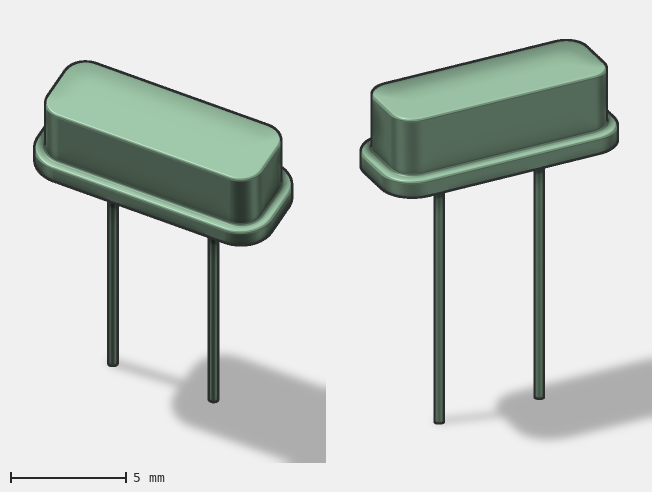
import cadquery as cq

flange_length = 11.35
flange_width = 4.65
flange_height = 0.8
flange_corner_radius = 1.5

ledge_width = 0.47
can_length = flange_length - 2 * ledge_width
can_width = flange_width - 2 * ledge_width
can_corner_radius = flange_corner_radius - ledge_width

edge_radius = 0.15

overall_height = 16.3
body_height = 3.6
lead_length = overall_height - body_height

lead_diameter = 0.42
lead_spacing = 4.87


def rounded_block(length, width, height, corner_radius):
    """Block standing on Z = 0 with rounded vertical corners and a rounded top rim."""
    block = cq.Workplane("XY").box(length, width, height, centered=(True, True, False))
    return block.edges("|Z").fillet(corner_radius).faces(">Z").edges().fillet(edge_radius)


def make_body():
    """Flange and can joined, with a concave fillet where the can meets the flange."""
    flange = rounded_block(flange_length, flange_width, flange_height, flange_corner_radius)
    can = rounded_block(can_length, can_width, body_height, can_corner_radius)
    ledge = cq.selectors.BoxSelector(
        (-flange_length, -flange_width, flange_height - edge_radius / 2),
        (flange_length, flange_width, flange_height + edge_radius / 2),
    )
    ledge_face = flange.union(can).faces(ledge).faces("|Z")
    foot_edges = ledge_face.val().innerWires()[0].Edges()
    return ledge_face.newObject(foot_edges).fillet(edge_radius)


def make_leads():
    """Two straight round wires hanging from the flange underside."""
    return (
        cq.Workplane("XY")
        .rarray(lead_spacing, 0.16, 2, 1)
        .circle(lead_diameter / 2)
        .extrude(-lead_length)
    )


result = make_body().union(make_leads())